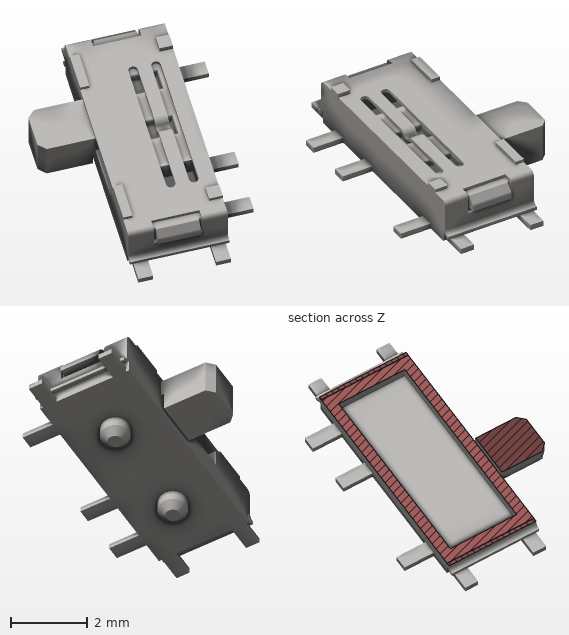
import cadquery as cq
import math


BODY_X = 6.2
BODY_Y = 2.7
BODY_TOP = 1.2
SHEET = 0.1
STRIP = 0.16
STRIP_W = 0.4
TRAVEL = 1.5

LUG_SPAN = 7.7
LUG_Y = 1.055
PEG_X = TRAVEL
PEG_D = 0.8
PEG_LENGTH = 0.5
PEG_CHAMFER = 0.2
END_WALL = 0.32
SIDE_WALL = 0.29
LEDGE = 0.04
SILL_Z = 0.67
WINDOW_X = 2.865
FLOOR_Z = STRIP
TAB_TOP = 1.4
TAB_OUTER_X = 2.69
FRONT_TAB = (1.05, 0.255)
REAR_TAB = (0.37, 0.37)
REAR_NOTCH_GAP = 0.03
HOOK_Y = 1.17
HOOK_BOTTOM = 0.82
HOOK_CORNER_Z = 0.99
HOOK_X = 3.35
HOOK_ROUND = 0.115

BEND_OUTER = 0.15
BEND_INNER = BEND_OUTER - SHEET
FOOT_INNER = 0.155
FOOT_OUTER = FOOT_INNER + SHEET
FOOT_Z = 0.43
CATCH_Y = 1.31
CATCH_BOTTOM = 0.7
CATCH_INNER_X = 2.91
SLOT_LENGTH = 4.02
SLOT_WIDTH = 0.255
SLOT_Y = (0.155, 0.78)
DIMPLE_X = 0.63
DIMPLE_RIM_X = 0.22
DIMPLE_ANGLE = 60

SLIDER_X = 3.95
SLIDER_CENTER_X = -TRAVEL / 2
KNOB_X = 1.3
KNOB_REACH = 1.525
KNOB_BOTTOM = 0.1
KNOB_GAP = 0.07
KNOB_CHAMFER = 0.2
DETENT_RIM = (0.585, 0.785)
DETENT_FLOOR = (0.485, 0.7)
DETENT_Y = 0.4
DETENT_DEPTH = 0.2
DETENT_ROUND = 0.06

TERMINAL_X = (-1.5 * TRAVEL, 0.5 * TRAVEL, 1.5 * TRAVEL)
LEAD_REACH = 0.9
PAD_GAP = 0.28
PAD_X = TRAVEL - PAD_GAP
PAD_Y = 0.69
TAPER_START_X = 0.47
TAPER_END_Y = 0.925

HALF_X = BODY_X / 2
HALF_Y = BODY_Y / 2
COVER_HALF_X = HALF_X + SHEET
COVER_TOP = BODY_TOP + SHEET
CHANNEL_HALF_Y = HALF_Y - SIDE_WALL
FRONT_TAB_X = TAB_OUTER_X - FRONT_TAB[0] / 2
FRONT_TAB_Y = -HALF_Y + FRONT_TAB[1] / 2
REAR_TAB_X = TAB_OUTER_X - REAR_TAB[0] / 2
REAR_TAB_Y = HALF_Y - REAR_TAB[1] / 2


def block(x_size, y_size, z_low, z_high, x=0.0, y=0.0):
    """Box centred on (x, y) that spans z_low to z_high."""
    return cq.Workplane("XY", origin=(x, y, z_low)).rect(x_size, y_size).extrude(z_high - z_low)


def both_ends(shape):
    """A shape and its mirror image in the YZ plane."""
    return shape.union(shape.mirror("YZ"))


def make_terminal(x):
    """Contact pad in the housing floor that tapers into a straight rear lead."""
    half_pad = PAD_X / 2
    half_lead = STRIP_W / 2
    lead_end = HALF_Y + LEAD_REACH
    outline = [
        (-half_pad, -PAD_Y),
        (half_pad, -PAD_Y),
        (half_pad, PAD_Y),
        (TAPER_START_X, PAD_Y),
        (half_lead, TAPER_END_Y),
        (half_lead, lead_end),
        (-half_lead, lead_end),
        (-half_lead, TAPER_END_Y),
        (-TAPER_START_X, PAD_Y),
        (-half_pad, PAD_Y),
    ]
    return cq.Workplane("XY").polyline(outline).close().extrude(STRIP).translate((x, 0, 0))


def make_hook():
    """Ramped snap hook on the -X end."""
    ramp_top_x = HOOK_X - (BODY_TOP - HOOK_CORNER_Z)
    hook = (
        cq.Workplane("XZ")
        .moveTo(-HALF_X + END_WALL, HOOK_BOTTOM)
        .lineTo(-HOOK_X, HOOK_BOTTOM)
        .lineTo(-HOOK_X, HOOK_CORNER_Z)
        .lineTo(-ramp_top_x, BODY_TOP)
        .lineTo(-HALF_X + END_WALL, BODY_TOP)
        .close()
        .extrude(HOOK_Y / 2, both=True)
    )
    ramp_edge = cq.selectors.NearestToPointSelector((-HOOK_X, 0, HOOK_CORNER_Z))
    return hook.edges("|Y").edges(ramp_edge).fillet(HOOK_ROUND)


def make_peg(x):
    """Locating peg with a chamfered tip."""
    peg = cq.Workplane("XY").circle(PEG_D / 2).extrude(-PEG_LENGTH)
    return peg.faces("<Z").chamfer(PEG_CHAMFER).translate((x, 0, 0))


def make_housing(terminals):
    shell = block(BODY_X, BODY_Y, 0, BODY_TOP).edges("|Y and >Z").fillet(BEND_INNER)

    channel_x = BODY_X - 2 * END_WALL
    channel_y = 2 * CHANNEL_HALF_Y
    shell = shell.cut(block(channel_x, channel_y, SILL_Z, BODY_TOP))
    shell = shell.cut(block(channel_x - 2 * LEDGE, channel_y - 2 * LEDGE, FLOOR_Z, SILL_Z))

    window_y = -HALF_Y + SIDE_WALL / 2
    shell = shell.cut(block(WINDOW_X, SIDE_WALL, SILL_Z, BODY_TOP, y=window_y))

    shell = shell.union(both_ends(block(*FRONT_TAB, BODY_TOP, TAB_TOP, FRONT_TAB_X, FRONT_TAB_Y)))
    shell = shell.union(both_ends(block(*REAR_TAB, BODY_TOP, TAB_TOP, REAR_TAB_X, REAR_TAB_Y)))
    shell = shell.union(both_ends(make_hook()))
    lug_length = LUG_SPAN / 2 - HALF_X + END_WALL
    lug_x = LUG_SPAN / 2 - lug_length / 2
    for lug_y in (-LUG_Y, LUG_Y):
        shell = shell.union(both_ends(block(lug_length, STRIP_W, 0, STRIP, lug_x, lug_y)))
    for peg_x in (-PEG_X, PEG_X):
        shell = shell.union(make_peg(peg_x))

    for terminal in terminals:
        shell = shell.cut(terminal)
    return shell


def make_end_leg():
    """Bent -X leg with a flared foot, joined to half of the top plate."""
    diagonal = 0.5 ** 0.5
    foot_x = -COVER_HALF_X - FOOT_INNER
    bend_x = -COVER_HALF_X + BEND_OUTER
    bend_z = COVER_TOP - BEND_OUTER
    foot_mid_inner = (foot_x + FOOT_INNER * diagonal, FOOT_Z - FOOT_INNER * diagonal)
    foot_mid_outer = (foot_x + FOOT_OUTER * diagonal, FOOT_Z - FOOT_OUTER * diagonal)
    bend_mid_outer = (bend_x - BEND_OUTER * diagonal, bend_z + BEND_OUTER * diagonal)
    bend_mid_inner = (bend_x - BEND_INNER * diagonal, bend_z + BEND_INNER * diagonal)
    return (
        cq.Workplane("XZ")
        .moveTo(0, COVER_TOP)
        .lineTo(bend_x, COVER_TOP)
        .threePointArc(bend_mid_outer, (-COVER_HALF_X, bend_z))
        .lineTo(-COVER_HALF_X, FOOT_Z)
        .threePointArc(foot_mid_inner, (foot_x, FOOT_Z - FOOT_INNER))
        .lineTo(foot_x, FOOT_Z - FOOT_OUTER)
        .threePointArc(foot_mid_outer, (-HALF_X, FOOT_Z))
        .lineTo(-HALF_X, bend_z)
        .threePointArc(bend_mid_inner, (bend_x, BODY_TOP))
        .lineTo(0, BODY_TOP)
        .close()
        .extrude(HALF_Y, both=True)
    )


def make_dimple(width, center_y):
    """Strip of sheet curved downward between two rounded rims to act as the detent spring."""
    half = DIMPLE_X / 2
    slope = math.radians(DIMPLE_ANGLE)
    rim_radius = DIMPLE_RIM_X / math.sin(slope)
    bowl_radius = (half - DIMPLE_RIM_X) / math.sin(slope)
    bowl_z = COVER_TOP - rim_radius + (rim_radius + bowl_radius) * math.cos(slope)

    def on_rim(side, angle, depth):
        """Point on a rim arc, the given depth below the upper face of the sheet."""
        radius = rim_radius - depth
        return (side * (half - radius * math.sin(angle)), COVER_TOP - rim_radius + radius * math.cos(angle))

    def bowl_bottom(depth):
        return (0, bowl_z - bowl_radius - depth)

    return (
        cq.Workplane("XZ")
        .moveTo(*on_rim(-1, 0, 0))
        .threePointArc(on_rim(-1, slope / 2, 0), on_rim(-1, slope, 0))
        .threePointArc(bowl_bottom(0), on_rim(1, slope, 0))
        .threePointArc(on_rim(1, slope / 2, 0), on_rim(1, 0, 0))
        .lineTo(*on_rim(1, 0, SHEET))
        .threePointArc(on_rim(1, slope / 2, SHEET), on_rim(1, slope, SHEET))
        .threePointArc(bowl_bottom(SHEET), on_rim(-1, slope, SHEET))
        .threePointArc(on_rim(-1, slope / 2, SHEET), on_rim(-1, 0, SHEET))
        .close()
        .extrude(width / 2, both=True)
        .translate((0, center_y, 0))
    )


def make_cover():
    cover = both_ends(make_end_leg())

    catch_x = COVER_HALF_X - CATCH_INNER_X
    catch_center = CATCH_INNER_X + catch_x / 2
    cover = cover.cut(both_ends(block(catch_x, CATCH_Y, CATCH_BOTTOM, COVER_TOP, catch_center)))

    cover = cover.cut(both_ends(block(*FRONT_TAB, BODY_TOP, COVER_TOP, FRONT_TAB_X, FRONT_TAB_Y)))
    notch_x = REAR_TAB[0] + REAR_NOTCH_GAP
    notch_center = TAB_OUTER_X - notch_x / 2
    cover = cover.cut(both_ends(block(notch_x, REAR_TAB[1], BODY_TOP, COVER_TOP, notch_center, REAR_TAB_Y)))

    slots = (
        cq.Workplane("XY", origin=(0, 0, BODY_TOP))
        .pushPoints([(0, y) for y in SLOT_Y])
        .slot2D(SLOT_LENGTH, SLOT_WIDTH)
        .extrude(SHEET)
    )
    strip_y = sum(SLOT_Y) / 2
    strip_width = SLOT_Y[1] - SLOT_Y[0] - SLOT_WIDTH
    cover = cover.cut(slots)
    cover = cover.cut(block(DIMPLE_X, strip_width, BODY_TOP, COVER_TOP, y=strip_y))
    return cover.union(make_dimple(strip_width, strip_y))


def make_detent(x):
    """Tapered recess with a rounded floor, as a cutting solid."""
    recess = (
        cq.Workplane("XY", origin=(x, DETENT_Y, BODY_TOP))
        .rect(*DETENT_RIM)
        .workplane(offset=-DETENT_DEPTH)
        .rect(*DETENT_FLOOR)
        .loft()
    )
    return recess.faces("<Z").edges().fillet(DETENT_ROUND)


def make_slider():
    slab = block(SLIDER_X, 2 * CHANNEL_HALF_Y, SILL_Z, BODY_TOP, SLIDER_CENTER_X)

    neck_y = SIDE_WALL + KNOB_GAP
    neck_center = -CHANNEL_HALF_Y - neck_y / 2
    slab = slab.union(block(KNOB_X, neck_y, SILL_Z, BODY_TOP, SLIDER_CENTER_X, neck_center))

    knob_y = KNOB_REACH - KNOB_GAP
    knob_center = -HALF_Y - KNOB_GAP - knob_y / 2
    knob = block(KNOB_X, knob_y, KNOB_BOTTOM, BODY_TOP, SLIDER_CENTER_X, knob_center)
    slab = slab.union(knob.edges("|Z and <Y").chamfer(KNOB_CHAMFER))

    for detent_x in (-TRAVEL, 0):
        slab = slab.cut(make_detent(detent_x))
        rim_zone = cq.selectors.BoxSelector(
            (detent_x - DETENT_RIM[0], DETENT_Y - DETENT_RIM[1], BODY_TOP - DETENT_ROUND),
            (detent_x + DETENT_RIM[0], DETENT_Y + DETENT_RIM[1], BODY_TOP + DETENT_ROUND),
        )
        slab = slab.edges(rim_zone).fillet(DETENT_ROUND)
    return slab


terminals = [make_terminal(x) for x in TERMINAL_X]
housing = make_housing(terminals)
cover = make_cover()
slider = make_slider()

result = cq.Compound.makeCompound([
    housing.solids().val(),
    cover.solids().val(),
    slider.solids().val(),
    *[terminal.val() for terminal in terminals],
])